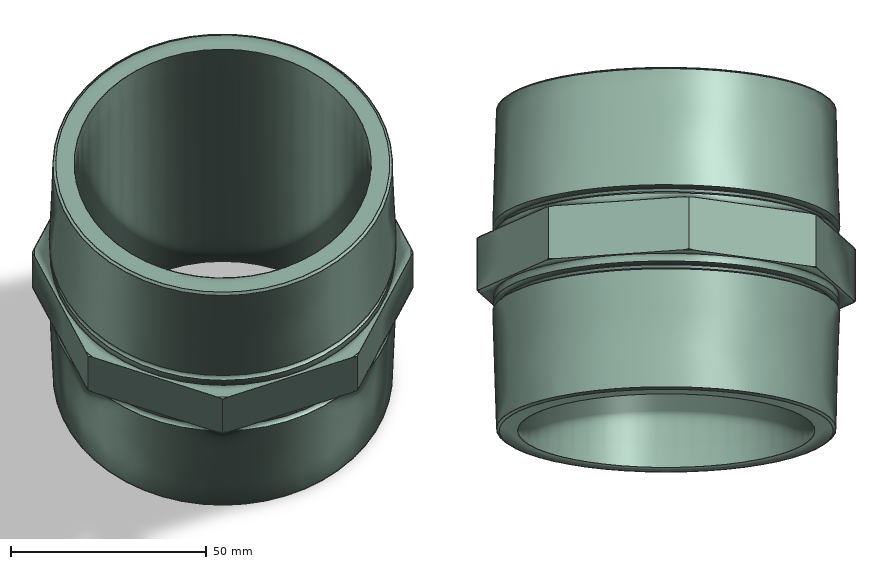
import cadquery as cq
import math

total_length = 85.0
bore_diameter = 76.0

grip_sides = 8
grip_across_flats = 90.0
grip_height = 14.0
grip_corner_circle_radius = 48.2
grip_corner_slope = 20

collar_radius = 44.25
collar_height = 2.0

groove_width = 2.1
groove_floor_width = 0.8
groove_floor_radius = 42.9

taper_large_radius = 44.4
diameter_taper = 1 / 16
end_chamfer_height = 0.5
end_chamfer_inset = 0.7

half_length = total_length / 2
collar_top = grip_height / 2 + collar_height
groove_top = collar_top + groove_width
groove_middle = (collar_top + groove_top) / 2
chamfer_start = half_length - end_chamfer_height
taper_small_radius = taper_large_radius - (chamfer_start - groove_top) * diameter_taper / 2


def revolved(profile):
    """Full turn of a (radius, height) profile about the Z axis, with the seam at -X."""
    outline = [(-radius, height) for radius, height in profile]
    return cq.Workplane("XZ").polyline(outline).close().revolve(360, (0, 0, 0), (0, 1, 0))


def corner_chamfer_envelope(corner_radius):
    """Round disc with bevelled rims that trims the octagon's corners at both faces."""
    half_height = grip_height / 2
    bevel_drop = (corner_radius - grip_corner_circle_radius) * math.tan(math.radians(grip_corner_slope))
    profile = [
        (0, -half_height),
        (grip_corner_circle_radius, -half_height),
        (corner_radius, bevel_drop - half_height),
        (corner_radius, half_height - bevel_drop),
        (grip_corner_circle_radius, half_height),
        (0, half_height),
    ]
    return revolved(profile)


def octagonal_grip():
    """Octagonal prism centred on the mid plane, with flats facing X and Y."""
    across_corners = grip_across_flats / math.cos(math.pi / grip_sides)
    prism = cq.Workplane("XY").polygon(grip_sides, across_corners).extrude(grip_height / 2, both=True)
    prism = prism.rotate((0, 0, 0), (0, 0, 1), 180 / grip_sides)
    return prism.intersect(corner_chamfer_envelope(across_corners / 2))


def turned_body():
    """Collars, grooves, tapered ends and end chamfers, symmetric about the mid plane."""
    upper_outline = [
        (collar_radius, collar_top),
        (groove_floor_radius, groove_middle - groove_floor_width / 2),
        (groove_floor_radius, groove_middle + groove_floor_width / 2),
        (taper_large_radius, groove_top),
        (taper_small_radius, chamfer_start),
        (taper_small_radius - end_chamfer_inset, half_length),
        (0, half_length),
    ]
    lower_outline = [(radius, -height) for radius, height in reversed(upper_outline)]
    return revolved(lower_outline + upper_outline)


def through_bore():
    """Cylinder that opens the part from end to end."""
    return cq.Workplane("XY", origin=(0, 0, -half_length)).circle(bore_diameter / 2).extrude(total_length)


result = octagonal_grip().union(turned_body()).cut(through_bore())